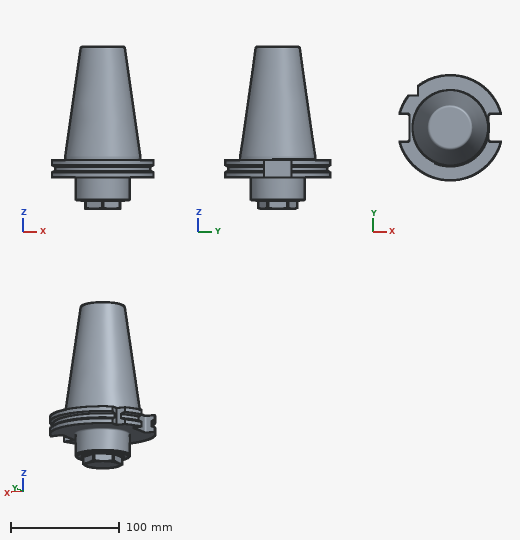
import cadquery as cq
import math

total_height = 149.8
nut_height = 7.0
hub_bottom = 7.8
flange_top = 44.9
flange_thickness = 15.9
flange_bottom = flange_top - flange_thickness
gauge_level = 48.0

gauge_radius = 69.8 / 2
shank_top_radius = 20.4
shank_top_fillet = 2.2
shank_root_fillet = 0.9

flange_radius = 97.5 / 2
groove_floor_radius = 45.8
groove_center = flange_top - 8.0
groove_mouth_width = 7.0
groove_flank_angle = 30.0
groove_depth = flange_radius - groove_floor_radius
groove_floor_width = groove_mouth_width - 2 * groove_depth * math.tan(math.radians(groove_flank_angle))

slot_width = 25.8
slot_corner_fillet = 2.0
slot_floor_left = -37.7
slot_floor_right = 35.5
notch_offset = 30.0

hub_radius = 50.0 / 2
hub_chamfer = 1.0
hub_root_fillet = 1.3
collar_radius = 39.0 / 2
nut_across_flats = 32.3
nut_corner_diameter = 36.4
nut_chamfer_radial = 2.2
nut_chamfer_height = 0.9


def cylinder(radius, bottom, top):
    return cq.Workplane("XY").workplane(offset=bottom).circle(radius).extrude(top - bottom)


def make_shank():
    profile = (
        cq.Workplane("XZ")
        .moveTo(0, flange_top)
        .lineTo(gauge_radius + shank_root_fillet, flange_top)
        .radiusArc((gauge_radius, flange_top + shank_root_fillet), shank_root_fillet)
        .lineTo(gauge_radius, gauge_level)
        .lineTo(shank_top_radius, total_height)
        .lineTo(0, total_height)
        .close()
    )
    shank = profile.revolve(360, (0, 0, 0), (0, 1, 0))
    return shank.faces(">Z").edges().fillet(shank_top_fillet)


def make_flange():
    profile = (
        cq.Workplane("XZ")
        .moveTo(0, flange_bottom)
        .lineTo(flange_radius, flange_bottom)
        .lineTo(flange_radius, groove_center - groove_mouth_width / 2)
        .lineTo(groove_floor_radius, groove_center - groove_floor_width / 2)
        .lineTo(groove_floor_radius, groove_center + groove_floor_width / 2)
        .lineTo(flange_radius, groove_center + groove_mouth_width / 2)
        .lineTo(flange_radius, flange_top)
        .lineTo(0, flange_top)
        .close()
    )
    flange = profile.revolve(360, (0, 0, 0), (0, 1, 0))

    for floor, side in ((slot_floor_left, -1), (slot_floor_right, 1)):
        flange = flange.cut(make_slot_cutter(floor, side))

    notch = (
        cq.Workplane("XY")
        .workplane(offset=flange_bottom)
        .moveTo(-notch_offset, notch_offset)
        .rect(-flange_radius, flange_radius, centered=False)
        .extrude(flange_thickness)
    )
    return flange.cut(notch)


def make_slot_cutter(floor, side):
    """Block open to the outside, with rounded corners at the slot floor."""
    length = flange_radius
    block = (
        cq.Workplane("XY")
        .workplane(offset=flange_bottom)
        .center(floor + side * length / 2, 0)
        .rect(length, slot_width)
        .extrude(flange_thickness)
    )
    floor_face = "<X" if side > 0 else ">X"
    return block.faces(floor_face).edges("|Z").fillet(slot_corner_fillet)


def make_hub():
    profile = (
        cq.Workplane("XZ")
        .moveTo(0, hub_bottom)
        .lineTo(hub_radius - hub_chamfer, hub_bottom)
        .lineTo(hub_radius, hub_bottom + hub_chamfer)
        .lineTo(hub_radius, flange_bottom - hub_root_fillet)
        .radiusArc((hub_radius + hub_root_fillet, flange_bottom), hub_root_fillet)
        .lineTo(0, flange_bottom)
        .close()
    )
    return profile.revolve(360, (0, 0, 0), (0, 1, 0))


def make_nut():
    """Hexagon with two corners on the Y axis, trimmed by a turned, chamfered blank."""
    hexagon = (
        cq.Workplane("XY")
        .polygon(6, nut_across_flats, circumscribed=True)
        .extrude(nut_height)
    )
    blank = (
        cylinder(nut_corner_diameter / 2, 0, nut_height)
        .faces("<Z")
        .edges()
        .chamfer(nut_chamfer_height, nut_chamfer_radial)
    )
    return hexagon.intersect(blank)


collar = cylinder(collar_radius, nut_height, hub_bottom)
result = make_shank().union(make_flange()).union(make_hub()).union(collar).union(make_nut())